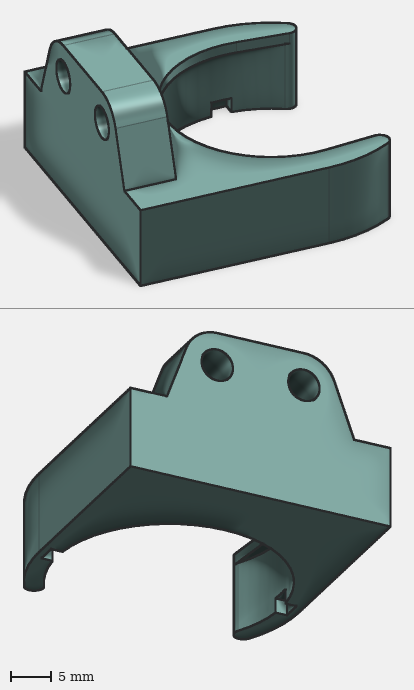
import cadquery as cq
import math

outer_radius = 18.0
arm_thickness = 2.5
socket_radius = outer_radius - arm_thickness
body_height = 11.0
ring_center_y = 25.5

tip_radius = arm_thickness / 2
tip_orbit = outer_radius - tip_radius
tip_angle = math.radians(30)

lip_radius = 14.0
lip_thickness = 1.5

notch_width = 2.7
notch_height = 2.0
notch_depth = 1.5

tab_thickness = 7.0
total_height = 21.5
tab_corner_radius = 4.5
tab_flank_angle = math.radians(20)
hole_spacing = 12.0
hole_diameter = 4.35
hole_height = total_height - tab_corner_radius


def on_circle(center, radius, angle):
    """Point on a circle at the given angle in radians."""
    return center[0] + radius * math.cos(angle), center[1] + radius * math.sin(angle)


def mirrored(point):
    """Point reflected across the part's middle plane."""
    return -point[0], point[1]


ring_center = (0, ring_center_y)
tip_center = on_circle(ring_center, tip_orbit, tip_angle)


def body_outline(opening_radius, tip_end_angle, opening_start):
    """Closed outline of the body.

    Each tip round runs from the outer arc to tip_end_angle on the tip circle. A straight flank joins
    it to opening_start on the opening arc, unless the round already ends there.
    """
    side_start = (outer_radius, ring_center_y)
    outer_mid = on_circle(ring_center, outer_radius, tip_angle / 2)
    outer_end = on_circle(ring_center, outer_radius, tip_angle)
    tip_mid = on_circle(tip_center, tip_radius, (tip_angle + tip_end_angle) / 2)
    tip_end = on_circle(tip_center, tip_radius, tip_end_angle)
    opening_bottom = (0, ring_center_y - opening_radius)
    has_flank = opening_start is not None
    arc_start = opening_start if has_flank else tip_end

    outline = (
        cq.Workplane("XY")
        .moveTo(-outer_radius, 0)
        .lineTo(outer_radius, 0)
        .lineTo(*side_start)
        .threePointArc(outer_mid, outer_end)
        .threePointArc(tip_mid, tip_end)
    )
    if has_flank:
        outline = outline.lineTo(*arc_start)
    outline = outline.threePointArc(opening_bottom, mirrored(arc_start))
    if has_flank:
        outline = outline.lineTo(*mirrored(tip_end))
    return (
        outline.threePointArc(mirrored(tip_mid), mirrored(outer_end))
        .threePointArc(mirrored(outer_mid), mirrored(side_start))
        .close()
    )


def make_socket_layer():
    outline = body_outline(socket_radius, tip_angle + math.pi, None)
    return outline.extrude(body_height - lip_thickness)


def make_lip_layer():
    flank_angle = tip_angle - math.acos((lip_radius + tip_radius) / tip_orbit)
    flank_end = on_circle(ring_center, lip_radius, flank_angle)
    outline = body_outline(lip_radius, flank_angle + math.pi, flank_end)
    return outline.extrude(lip_thickness).translate((0, 0, body_height - lip_thickness))


def make_notches():
    return (
        cq.Workplane("XY")
        .center(*ring_center)
        .rect(2 * (socket_radius + notch_depth), notch_width)
        .extrude(notch_height)
    )


def make_tab():
    corner_center = (hole_spacing / 2, hole_height)
    corner_end = on_circle(corner_center, tab_corner_radius, tab_flank_angle)
    corner_mid = on_circle(corner_center, tab_corner_radius, (tab_flank_angle + math.pi / 2) / 2)
    corner_top = (hole_spacing / 2, total_height)
    foot_x = corner_end[0] + (corner_end[1] - body_height) * math.tan(tab_flank_angle)
    foot = (foot_x, body_height)

    return (
        cq.Workplane("XZ")
        .moveTo(*mirrored(foot))
        .lineTo(*foot)
        .lineTo(*corner_end)
        .threePointArc(corner_mid, corner_top)
        .lineTo(*mirrored(corner_top))
        .threePointArc(mirrored(corner_mid), mirrored(corner_end))
        .close()
        .extrude(-tab_thickness)
    )


def make_holes():
    return (
        cq.Workplane("XZ")
        .pushPoints([(-hole_spacing / 2, hole_height), (hole_spacing / 2, hole_height)])
        .circle(hole_diameter / 2)
        .extrude(-tab_thickness)
    )


body = make_socket_layer().union(make_lip_layer()).cut(make_notches())
result = body.union(make_tab()).cut(make_holes()).clean()